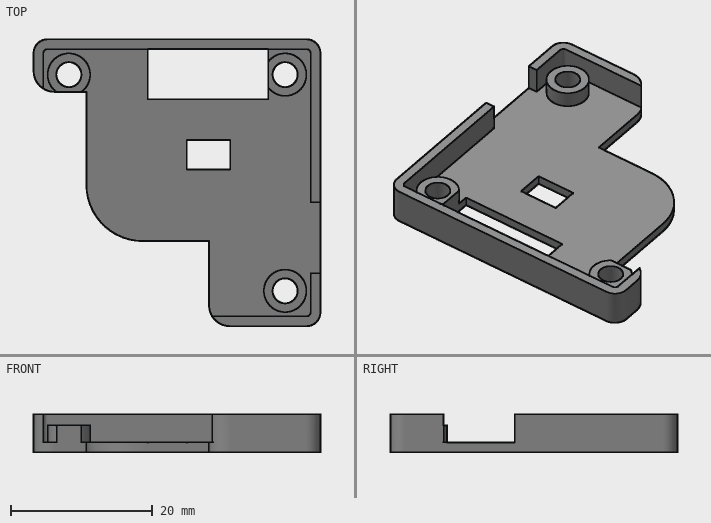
import cadquery as cq

side = 40.5
height = 5.4
floor_thickness = 1.4
wall_thickness = 1.4

left = -side / 2
right = side / 2
front = -side / 2
back = side / 2

ear_size = 7.45
tray_depth = 28.5
foot_offset = 24.75
wall_corner_radius = 2.0
end_corner_radius = 3.0
tray_corner_radius = 8.0

boss_inset = 5.0
boss_diameter = 6.0
boss_top = 3.8
hole_diameter = 3.5

wall_gap_start = 23.0
wall_gap_length = 10.0

large_window_x = 16.15
large_window_length = 16.95
large_window_end_y = 8.45
small_window_x = 21.65
small_window_y = 14.25
small_window_length = 6.1
small_window_width = 4.1


def block(x_min, x_max, y_min, y_max, z_min, z_max):
    """Axis-aligned block between the given limits."""
    return cq.Workplane("XY").box(
        x_max - x_min, y_max - y_min, z_max - z_min, centered=False
    ).translate((x_min, y_min, z_min))


def make_envelope():
    """Full-height solid with the tray outline."""
    ear_y = back - ear_size
    step_x = left + ear_size
    tray_y = back - tray_depth
    foot_x = left + foot_offset
    outline = [
        (left, back),
        (right, back),
        (right, front),
        (foot_x, front),
        (foot_x, tray_y),
        (step_x, tray_y),
        (step_x, ear_y),
        (left, ear_y),
    ]
    corner_radii = [
        ((left, back), wall_corner_radius),
        ((right, back), wall_corner_radius),
        ((right, front), wall_corner_radius),
        ((foot_x, front), end_corner_radius),
        ((left, ear_y), end_corner_radius),
        ((step_x, tray_y), tray_corner_radius),
    ]
    solid = cq.Workplane("XY").polyline(outline).close().extrude(height)
    for (x, y), radius in corner_radii:
        corner = cq.selectors.NearestToPointSelector((x, y, height / 2))
        solid = solid.edges("|Z").edges(corner).fillet(radius)
    return solid


def make_cavity():
    """Space inside the perimeter wall, including the opening in the right wall."""
    inner_side = side - 2 * wall_thickness
    cavity = (
        cq.Workplane("XY")
        .workplane(offset=floor_thickness)
        .rect(inner_side, inner_side)
        .extrude(height - floor_thickness)
        .edges("|Z")
        .fillet(wall_corner_radius - wall_thickness)
    )
    gap_back = back - wall_gap_start
    gap = block(
        right - 2 * wall_thickness, right,
        gap_back - wall_gap_length, gap_back,
        floor_thickness, height,
    )
    return cavity.union(gap)


def make_cylinders(diameter, z_top):
    """Cylinders standing on Z = 0 at the three screw positions."""
    reach = side / 2 - boss_inset
    positions = [(-reach, reach), (reach, reach), (reach, -reach)]
    return cq.Workplane("XY").pushPoints(positions).circle(diameter / 2).extrude(z_top)


def make_windows():
    """Cutters for the two rectangular openings; the large one also trims a boss."""
    large_left = left + large_window_x
    large = block(
        large_left, large_left + large_window_length,
        back - large_window_end_y, back - wall_thickness,
        0, height,
    )
    small_left = left + small_window_x
    small_back = back - small_window_y
    small = block(
        small_left, small_left + small_window_length,
        small_back - small_window_width, small_back,
        0, height,
    )
    return large.union(small)


envelope = make_envelope()
tray = envelope.cut(make_cavity())
bosses = make_cylinders(boss_diameter, boss_top).intersect(envelope)
result = tray.union(bosses).cut(make_windows()).cut(make_cylinders(hole_diameter, height))